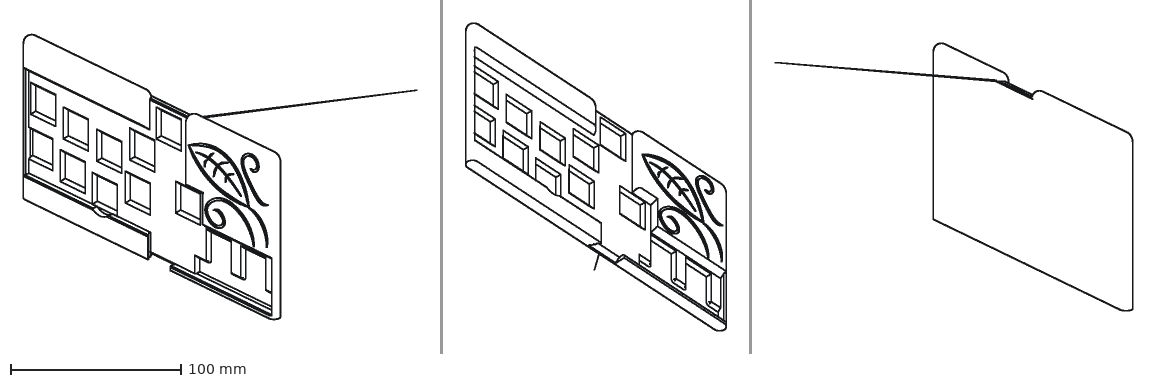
import cadquery as cq
import math

PLATE_WIDTH = 215.0
PLATE_HEIGHT = 108.5
THICKNESS = 8.0
EDGE_RADIUS = THICKNESS / 2
CORNER_RADIUS = 6.0

LEFT_BLOCK_END = 105.7
RIGHT_BLOCK_START = 138.0
FLOOR_Y = 4.0
SLAB_TOP = 104.4
SLAB_CHAMFER = 0.7
SLAB_BOTTOM_BEVEL = 2.9
SLAB_OVERLAP = 8.0

CUT_CLEARANCE = 1.0
SIDE_WALL = 3.1
RIM_CHAMFER = 1.0
SIDE_CHAMFER_Y = 0.4
LEDGE_CHAMFER = 0.7
BEVEL_RISE = 3.6
LEFT_LEDGE_TOP = 15.9
LEFT_RECESS_TOP = 87.4
RIGHT_LEDGE_TOP = 2.8
RIGHT_RECESS_TOP = 41.1
SIDE_RECESS_TOP = 62.3
SIDE_RECESS_END = 155.0
SIDE_RECESS_DRAFT = 1.6

LEFT_LEDGE_TIP = 108.0
LEFT_LEDGE_ROOT = 106.6
LIP_FRONT_DEPTH = 0.8
LIP_BACK_DEPTH = 2.4
RIGHT_LEDGE_START = 127.0

POCKET_SIZE = 21.2
POCKET_DEPTH = 2.1
POCKET_TAPER = 45.0
POCKET_CENTRES = [
    (15.1, 66.2), (42.9, 60.4), (71.2, 56.4), (99.2, 67.9), (121.7, 90.4),
    (12.6, 35.9), (40.2, 31.1), (67.5, 26.3), (95.5, 37.9), (138.1, 47.4),
]

BASE_LEFT = 143.7
BASE_BOTTOM = 2.0
BASE_TOP = 15.0
TOWER_TOP = 36.2
TOWER_WIDTH = 21.4
TOWER_LEFT_EDGES = (153.4, 182.7)

NOTCH_X = 67.5
NOTCH_BOTTOM = 13.5
NOTCH_RADIUS = 10.0

NEEDLE_BASE = (141.9, 7.6, 104.1)
NEEDLE_TIP = (217.82, 113.73, 112.73)
NEEDLE_RADIUS = 0.38

GROOVE_DEPTH = 0.5
OUTLINE_WIDTH = 1.5
VEIN_WIDTH = 0.7
LEAF_TIP = (142.6, 89.0)
LEAF_STALK = (193.7, 67.2)
LEAF_OUTLINES = [
    [LEAF_TIP, (154.0, 93.6), (168.8, 95.2), (180.5, 90.5), (188.5, 81.0), LEAF_STALK],
    [LEAF_TIP, (151.7, 78.6), (164.0, 71.2), (177.3, 67.8), LEAF_STALK],
]
STEMS = [
    [(194.0, 66.8), (202.9, 62.7), (207.8, 55.5), (208.9, 46.5)],
    [(209.7, 74.7), (205.0, 73.9), (196.9, 80.2), (191.0, 87.9), (188.3, 96.4), (193.5, 102.0),
     (199.5, 101.2), (201.2, 96.4), (198.6, 93.2), (195.2, 93.4)],
    [(163.7, 53.8), (168.8, 54.5), (172.6, 49.5), (166.2, 44.0), (157.5, 50.8), (163.7, 60.6),
     (174.8, 64.0), (187.6, 59.8), (195.0, 52.0), (197.8, 42.7)],
]
VEINS = [
    [(148.8, 86.6), (159.4, 86.8), (173.1, 81.9), (187.1, 72.1)],
    [(159.4, 87.0), (161.2, 89.3), (163.7, 91.7)],
    [(167.1, 84.7), (170.9, 87.9), (176.0, 90.0)],
    [(174.8, 81.1), (177.8, 83.0), (180.7, 84.1)],
    [(158.6, 85.3), (156.6, 83.2), (156.2, 79.8)],
    [(167.1, 84.5), (165.0, 80.6), (163.9, 76.4)],
    [(174.8, 80.6), (174.2, 78.9), (173.9, 76.4)],
]


def box(x0, x1, y0, y1, z0, z1):
    """Axis-aligned box between two corners."""
    return cq.Workplane("XY").box(x1 - x0, y1 - y0, z1 - z0, centered=False).translate((x0, y0, z0))


def front_plane(y):
    """Sketch plane at depth y whose local axes are X and Z; negative extrusion goes backward."""
    return cq.Workplane("XZ", origin=(0, y, 0))


def x_prism(profile, x0, x1):
    """Extrude a (y, z) profile along X."""
    return cq.Workplane("YZ", origin=(x0, 0, 0)).polyline(profile).close().extrude(x1 - x0)


def z_prism(profile, z0, z1):
    """Extrude an (x, y) profile along Z."""
    return cq.Workplane("XY", origin=(0, 0, z0)).polyline(profile).close().extrude(z1 - z0)


def rounded_block(x0, x1):
    """Full-thickness block, rim fully rounded on both sides and the top, flat at the bottom."""
    left = x0 + EDGE_RADIUS
    right = x1 - EDGE_RADIUS
    top = PLATE_HEIGHT - EDGE_RADIUS
    bend = CORNER_RADIUS - EDGE_RADIUS
    slant = bend * (1 - math.sqrt(0.5))

    def rim_line(plane):
        return (
            plane.moveTo(left, 0)
            .lineTo(left, top - bend)
            .threePointArc((left + slant, top - slant), (left + bend, top))
            .lineTo(right - bend, top)
            .threePointArc((right - slant, top - slant), (right, top - bend))
            .lineTo(right, 0)
        )

    core = rim_line(front_plane(0)).close().extrude(-THICKNESS)
    rim = (
        cq.Workplane("XY")
        .moveTo(left, 0)
        .threePointArc((x0, EDGE_RADIUS), (left, THICKNESS))
        .close()
        .sweep(rim_line(front_plane(EDGE_RADIUS)))
    )
    return core.union(rim)


def slab():
    """Thin web behind the recesses, chamfered along its top and bevelled along its bottom front."""
    profile = [
        (FLOOR_Y, SLAB_BOTTOM_BEVEL),
        (FLOOR_Y + SLAB_BOTTOM_BEVEL, 0),
        (THICKNESS, 0),
        (THICKNESS, SLAB_TOP - SLAB_CHAMFER),
        (THICKNESS - SLAB_CHAMFER, SLAB_TOP),
        (FLOOR_Y + SLAB_CHAMFER, SLAB_TOP),
        (FLOOR_Y, SLAB_TOP - SLAB_CHAMFER),
    ]
    return x_prism(profile, LEFT_BLOCK_END - SLAB_OVERLAP, RIGHT_BLOCK_START + SLAB_OVERLAP)


def left_ledge_end():
    """End of the left ledge, with a lip overhanging at the front."""
    start = LEFT_BLOCK_END - SLAB_OVERLAP
    plan = [
        (start, 0),
        (LEFT_LEDGE_TIP, 0),
        (LEFT_LEDGE_TIP, LIP_FRONT_DEPTH),
        (LEFT_LEDGE_ROOT, LIP_BACK_DEPTH),
        (LEFT_LEDGE_ROOT, FLOOR_Y),
        (start, FLOOR_Y),
    ]
    return z_prism(plan, 0, LEFT_LEDGE_TOP)


def right_ledge_end():
    """Start of the right ledge, standing in the gap."""
    return box(RIGHT_LEDGE_START, RIGHT_BLOCK_START + SLAB_OVERLAP, 0, THICKNESS, 0, RIGHT_LEDGE_TOP)


def recess_section(ledge_top, recess_top):
    """Recess section in (y, z): chamfered ledge below, sloped wall above."""
    slope = BEVEL_RISE / FLOOR_Y
    return [
        (-CUT_CLEARANCE, ledge_top - LEDGE_CHAMFER - CUT_CLEARANCE),
        (LEDGE_CHAMFER, ledge_top),
        (FLOOR_Y, ledge_top),
        (FLOOR_Y, recess_top - BEVEL_RISE),
        (-CUT_CLEARANCE, recess_top + slope * CUT_CLEARANCE),
    ]


def side_wall_plan(open_end):
    """Recess plan in (x, y): chamfered wall at the left side, open at the other end."""
    rim = SIDE_WALL - RIM_CHAMFER
    return [
        (rim, -CUT_CLEARANCE),
        (rim, SIDE_CHAMFER_Y),
        (SIDE_WALL, SIDE_CHAMFER_Y + RIM_CHAMFER),
        (SIDE_WALL, FLOOR_Y),
        (open_end, FLOOR_Y),
        (open_end, -CUT_CLEARANCE),
    ]


def recess(section, plan):
    """Recess bounded by a side section and a plan."""
    return x_prism(section, 0, PLATE_WIDTH).intersect(z_prism(plan, 0, PLATE_HEIGHT))


def left_recess():
    return recess(recess_section(LEFT_LEDGE_TOP, LEFT_RECESS_TOP), side_wall_plan(RIGHT_LEDGE_START))


def right_recess():
    plan = [(PLATE_WIDTH - x, y) for x, y in side_wall_plan(PLATE_WIDTH - RIGHT_LEDGE_START)]
    return recess(recess_section(RIGHT_LEDGE_TOP, RIGHT_RECESS_TOP), plan)


def side_recess():
    """Taller step of the right recess beside the leaf panel."""
    draft_per_depth = SIDE_RECESS_DRAFT / FLOOR_Y
    plan = [
        (RIGHT_LEDGE_START, -CUT_CLEARANCE),
        (RIGHT_LEDGE_START, FLOOR_Y),
        (SIDE_RECESS_END - SIDE_RECESS_DRAFT, FLOOR_Y),
        (SIDE_RECESS_END + draft_per_depth * CUT_CLEARANCE, -CUT_CLEARANCE),
    ]
    return recess(recess_section(RIGHT_LEDGE_TOP, SIDE_RECESS_TOP), plan)


def inside_recess(cutter):
    """Keep the part of a cutter that lies between the two outer side walls."""
    return cutter.intersect(
        box(SIDE_WALL, PLATE_WIDTH - SIDE_WALL, FLOOR_Y, THICKNESS, 0, PLATE_HEIGHT)
    )


def square_pocket(x, z):
    pocket = (
        front_plane(FLOOR_Y).center(x, z).rect(POCKET_SIZE, POCKET_SIZE)
        .extrude(-POCKET_DEPTH, taper=POCKET_TAPER)
    )
    return inside_recess(pocket)


def battlement_pocket():
    """Base and two towers as one sloped-wall pocket, open to the right side wall."""
    outline = [(BASE_LEFT, BASE_BOTTOM), (BASE_LEFT, BASE_TOP)]
    for left in TOWER_LEFT_EDGES:
        right = left + TOWER_WIDTH
        outline += [(left, BASE_TOP), (left, TOWER_TOP), (right, TOWER_TOP), (right, BASE_TOP)]
    outline += [(PLATE_WIDTH, BASE_TOP), (PLATE_WIDTH, BASE_BOTTOM)]
    pocket = (
        front_plane(FLOOR_Y).polyline(outline).close()
        .extrude(-POCKET_DEPTH, taper=POCKET_TAPER)
    )
    above_ledge = box(0, PLATE_WIDTH, 0, THICKNESS, RIGHT_LEDGE_TOP, PLATE_HEIGHT)
    return inside_recess(pocket).intersect(above_ledge)


def thumb_notch():
    return front_plane(0).center(NOTCH_X, NOTCH_BOTTOM + NOTCH_RADIUS).circle(NOTCH_RADIUS).extrude(-FLOOR_Y)


def tapered_groove(points, width):
    """Shallow groove along a smooth line, widest in the middle and pointed at both ends."""
    upper = [points[0]]
    lower = [points[0]]
    for before, here, after in zip(points, points[1:], points[2:]):
        dx = after[0] - before[0]
        dz = after[1] - before[1]
        half = width / 2 / math.hypot(dx, dz)
        upper.append((here[0] - dz * half, here[1] + dx * half))
        lower.append((here[0] + dz * half, here[1] - dx * half))
    upper.append(points[-1])
    lower.append(points[-1])
    return (
        front_plane(0)
        .spline(upper)
        .spline(lower[::-1])
        .close()
        .extrude(-GROOVE_DEPTH)
    )


def needle():
    """Thin cone from the back of the right block to its far tip."""
    base = cq.Vector(*NEEDLE_BASE)
    axis = cq.Vector(*NEEDLE_TIP) - base
    return cq.Workplane(obj=cq.Solid.makeCone(NEEDLE_RADIUS, 0, axis.Length, base, axis))


left_part = rounded_block(0, LEFT_BLOCK_END).union(left_ledge_end()).cut(left_recess())
right_part = (
    rounded_block(RIGHT_BLOCK_START, PLATE_WIDTH)
    .union(right_ledge_end())
    .cut(right_recess())
    .cut(side_recess())
)
body = left_part.union(slab()).union(right_part)

for centre in POCKET_CENTRES:
    body = body.cut(square_pocket(*centre))
body = body.cut(battlement_pocket())
body = body.cut(thumb_notch())

for line in LEAF_OUTLINES + STEMS:
    body = body.cut(tapered_groove(line, OUTLINE_WIDTH))
for line in VEINS:
    body = body.cut(tapered_groove(line, VEIN_WIDTH))

result = body.union(needle())